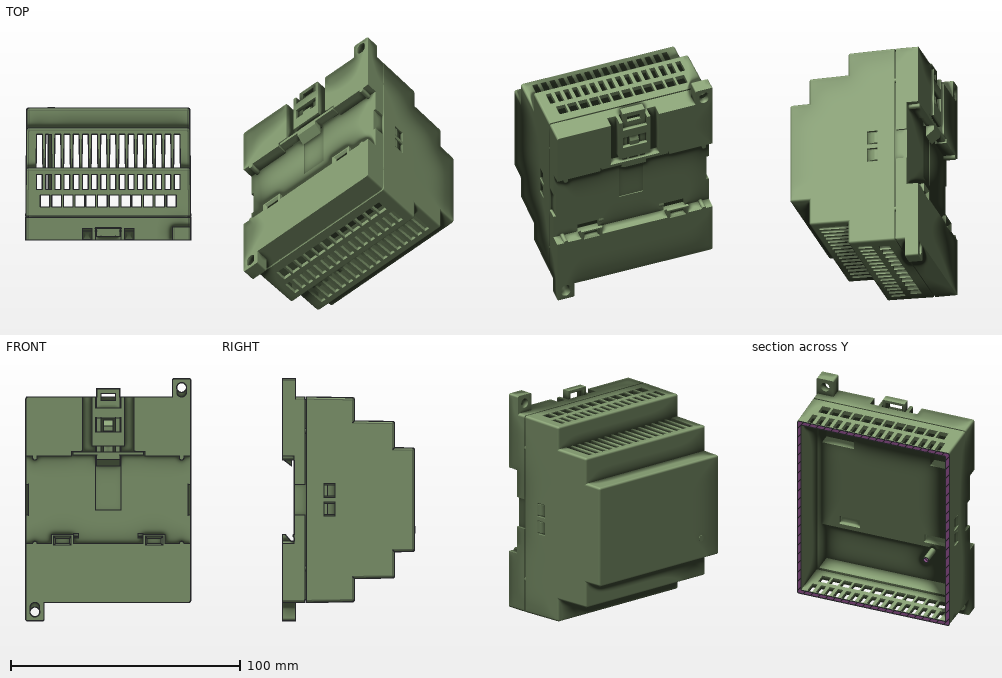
import cadquery as cq
import math


half_width = 36.005
half_height = 44.9
total_half_height = 52.83
total_depth = 57.9
wall = 2.0
edge_radius = 1.0

base_depth = 9.8
lip_inset = 1.15
lip_top = 10.5
locator_radius = 1.1
locator_z = 30.0
foot_width = 8.0
foot_depth = 5.8
foot_corner_radius = 0.75
foot_hole_radius = 2.1
foot_hole_z = 48.95
foot_slot_travel = 2.0
foot_slot_depth = 3.0
channel_half = 19.1
channel_depth = 5.1
base_floor = channel_depth + wall
side_recess_half = 6.75
pin_x = 32.0
pin_radius = 1.0
upper_pin_drop = 0.8

guide_half = 11.15
guide_bottom = 21.0
guide_corner_radius = 1.0
crossbar_notch_half = 15.95
groove_half = 5.65
groove_floor = 5.45
groove_bottom = -4.5
bridge_half = 7.15
bridge_bottom = 23.4
bridge_window_bottom = 29.65
bridge_window_top = 35.75
bridge_notch_bottom = 40.1

clip_x = 19.97
clip_width = 9.8
clip_top = -15.1
clip_tip_depth = 1.25
clip_root_depth = 4.5
clip_pocket_width = 7.65
clip_pocket_top = -15.85
clip_pocket_bottom = -19.8
clip_pocket_floor_width = 6.15
clip_pocket_floor_top = -16.9
clip_pocket_floor_bottom = -19.2
clip_pocket_mouth_depth = 1.0
clip_pocket_depth = 2.3
ridge_x = 13.98
ridge_length = 2.15
ridge_z = -15.7
ridge_half = 0.95
ridge_flat_half = 0.3
ridge_height = 0.4

latch_half = 5.1
latch_front = 1.6
latch_back = 5.15
latch_top = 48.5
crossbar_half = 15.3
crossbar_bottom = 19.45
crossbar_top = 20.9
crossbar_front = 0.35
crossbar_back = 4.0
nose_top = 17.6
nose_bottom = 14.7
pull_hole_half = 3.1
pull_hole_bottom = 43.4
pull_hole_top = 46.3
pull_hollow_half = 4.1
pull_hollow_front = 3.1
pull_hollow_bottom = 39.5
pull_hollow_top = 47.3
relief_half = 3.1
relief_top = 38.0
finger_half = 2.0
finger_top = 34.7
finger_ramp_start = 2.6
finger_ramp_bottom = 32.15
finger_hook_bottom = 29.9
finger_hook_front = 0.5

cover_front = 57.65
cover_front_half_width = 35.6
height_draft = math.tan(math.radians(1.0))
cover_steps = [
    (lip_top, 31.5, half_height),
    (31.5, 49.0, 34.46),
    (49.0, cover_front, 22.75),
]
vent_count = 16
vent_pitch = 4.0
vent_width = 2.4
low_vent_bottom = 22.15
low_vent_top = 28.6
high_vent_top = 46.1
high_vent_root_width = 2.9
terminal_groups = 3
terminals_per_group = 4
terminal_group_pitch = 20.0
terminal_pitch = 5.08
terminal_width = 4.1
terminal_bottom = 14.5
terminal_top = 19.65
window_z = 4.0
window_height = 6.2
window_bottom = 18.1
window_top = 22.95
window_depth = 1.4
catch_height = 4.75
catch_crest = 19.6
catch_rise = 1.1

pipe_radius = 1.35
pipe_x = -24.85
pipe_z = -13.1
pipe_start = 21.0


def block(x0, x1, y0, y1, z0, z1):
    return cq.Workplane("XY").box(x1 - x0, y1 - y0, z1 - z0, centered=False).translate((x0, y0, z0))


def rod(x, z, radius, y0, y1):
    """Cylinder running along Y."""
    return cq.Workplane("XZ", origin=(x, y0, z)).circle(radius).extrude(y0 - y1)


def side_prism(points, x0, x1):
    """Prism along X from (y, z) points."""
    return cq.Workplane("YZ", origin=(x0, 0, 0)).polyline(points).close().extrude(x1 - x0)


def make_foot():
    """Upper right mounting foot."""
    foot_left = half_width - foot_width
    foot_root = half_height - 2 * edge_radius
    foot = block(foot_left, half_width, 0, foot_depth, foot_root, total_half_height)
    return foot.edges("|Y and >Z").fillet(foot_corner_radius)


def foot_opening():
    """Round screw hole that continues downwards as a blind slot."""
    x = half_width - foot_width / 2
    hole = rod(x, foot_hole_z, foot_hole_radius, 0, foot_depth)
    lower_end = foot_hole_z - foot_slot_travel
    slot = rod(x, lower_end, foot_hole_radius, 0, foot_slot_depth)
    slot = slot.union(
        block(x - foot_hole_radius, x + foot_hole_radius, 0, foot_slot_depth, lower_end, foot_hole_z)
    )
    return hole.union(slot)


def half_turn(shape):
    return shape.rotate((0, 0, 0), (0, 1, 0), 180)


def make_shell():
    shell = block(-half_width, half_width, 0, base_depth, -half_height, half_height)
    shell = shell.edges("|Y").fillet(edge_radius)
    foot = make_foot()
    shell = shell.union(foot).union(half_turn(foot))

    lip_x = half_width - lip_inset
    lip_z = half_height - lip_inset
    shell = shell.union(block(-lip_x, lip_x, 0, lip_top, -lip_z, lip_z))
    for x in (-lip_x, lip_x):
        for z in (-locator_z, locator_z):
            shell = shell.union(rod(x, z, locator_radius, base_depth, lip_top))

    inner_x = lip_x - wall
    inner_z = lip_z - wall
    shell = shell.cut(block(-inner_x, inner_x, base_floor, lip_top, -inner_z, inner_z))
    guide_wall = crossbar_notch_half + wall
    end_start = channel_half + wall
    shell = shell.cut(block(-inner_x, -guide_wall, wall, base_floor, end_start, inner_z))
    shell = shell.cut(block(guide_wall, inner_x, wall, base_floor, end_start, inner_z))
    shell = shell.cut(block(-inner_x, inner_x, wall, base_floor, -inner_z, -end_start))

    opening = foot_opening()
    return shell.cut(opening).cut(half_turn(opening))


def cut_channel(base):
    base = base.cut(block(-half_width, half_width, 0, channel_depth, -channel_half, channel_half))
    recess_x = half_width - lip_inset
    for side in (-1, 1):
        recess = block(recess_x, half_width, 0, base_depth, -side_recess_half, side_recess_half)
        if side < 0:
            recess = half_turn(recess)
        base = base.cut(recess)
    return base


def add_channel_pins(base):
    for x in (-pin_x, pin_x):
        upper_z = channel_half - upper_pin_drop
        base = base.union(rod(x, upper_z, pin_radius, 0, channel_depth))
        base = base.union(
            block(x - pin_radius, x + pin_radius, 0, channel_depth, upper_z, channel_half)
        )
        base = base.union(rod(x, -channel_half, pin_radius, 0, channel_depth))
    return base


def cut_latch_guide(base):
    rounding_end = guide_half + guide_corner_radius
    rounding_top = guide_bottom + guide_corner_radius
    guide = (
        cq.Workplane("XZ")
        .moveTo(-guide_half, half_height)
        .lineTo(-guide_half, rounding_top)
        .tangentArcPoint((-rounding_end, guide_bottom), relative=False)
        .lineTo(-crossbar_notch_half, guide_bottom)
        .lineTo(-crossbar_notch_half, channel_half)
        .lineTo(crossbar_notch_half, channel_half)
        .lineTo(crossbar_notch_half, guide_bottom)
        .lineTo(rounding_end, guide_bottom)
        .tangentArcPoint((guide_half, rounding_top), relative=False)
        .lineTo(guide_half, half_height)
        .close()
        .extrude(-channel_depth)
    )
    base = base.cut(guide)
    base = base.union(block(-bridge_half, bridge_half, 0, channel_depth, bridge_bottom, half_height))
    base = base.cut(
        block(-groove_half, groove_half, latch_front, groove_floor, groove_bottom, half_height)
    )
    for bottom, top in (
        (bridge_window_bottom, bridge_window_top),
        (bridge_notch_bottom, half_height),
    ):
        base = base.cut(block(-groove_half, groove_half, 0, latch_front, bottom, top))
    return base


def add_rail_clip(base, x):
    left = x - clip_width / 2
    right = x + clip_width / 2
    base = base.cut(block(left, right, channel_depth, base_floor, -channel_half, clip_top))
    lug = side_prism(
        [
            (0, -channel_half),
            (0, clip_top),
            (clip_tip_depth, clip_top),
            (clip_root_depth, -channel_half),
        ],
        left,
        right,
    )
    base = base.union(lug)
    mouth_z = (clip_pocket_top + clip_pocket_bottom) / 2
    floor_z = (clip_pocket_floor_top + clip_pocket_floor_bottom) / 2
    pocket = (
        cq.Workplane("XZ", origin=(x, 0, mouth_z))
        .rect(clip_pocket_width, clip_pocket_top - clip_pocket_bottom)
        .workplane(offset=-clip_pocket_mouth_depth)
        .center(0, floor_z - mouth_z)
        .rect(clip_pocket_floor_width, clip_pocket_floor_top - clip_pocket_floor_bottom)
        .loft(ruled=True)
    )
    floor_half = clip_pocket_floor_width / 2
    well = block(
        x - floor_half, x + floor_half,
        clip_pocket_mouth_depth, clip_pocket_depth,
        clip_pocket_floor_bottom, clip_pocket_floor_top,
    )
    return base.cut(pocket).cut(well)


def make_ridge(x):
    """Small ridge with bevelled flanks on the channel floor."""
    crest = channel_depth - ridge_height
    return side_prism(
        [
            (channel_depth, ridge_z - ridge_half),
            (crest, ridge_z - ridge_flat_half),
            (crest, ridge_z + ridge_flat_half),
            (channel_depth, ridge_z + ridge_half),
        ],
        x - ridge_length / 2,
        x + ridge_length / 2,
    )


def make_base():
    base = cut_channel(make_shell())
    base = add_channel_pins(base)
    base = cut_latch_guide(base)
    for side in (-1, 1):
        base = add_rail_clip(base, side * clip_x)
        base = base.union(make_ridge(side * ridge_x))
    return base


def make_latch():
    latch = block(-latch_half, latch_half, latch_front, latch_back, crossbar_bottom, latch_top)
    latch = latch.cut(
        block(-relief_half, relief_half, latch_front, latch_back, crossbar_top, relief_top)
    )
    latch = latch.cut(
        block(-pull_hole_half, pull_hole_half, latch_front, latch_back, pull_hole_bottom, pull_hole_top)
    )
    latch = latch.cut(
        block(
            -pull_hollow_half, pull_hollow_half,
            pull_hollow_front, latch_back,
            pull_hollow_bottom, pull_hollow_top,
        )
    )
    latch = latch.union(
        block(
            -crossbar_half, crossbar_half,
            crossbar_front, crossbar_back,
            crossbar_bottom, crossbar_top,
        )
    )
    nose = side_prism(
        [
            (crossbar_front, crossbar_top),
            (crossbar_front, nose_top),
            (crossbar_back, nose_bottom),
            (crossbar_back, crossbar_top),
        ],
        -latch_half,
        latch_half,
    )
    finger = side_prism(
        [
            (crossbar_back, crossbar_bottom),
            (crossbar_back, finger_top),
            (finger_ramp_start, finger_top),
            (finger_hook_front, finger_ramp_bottom),
            (finger_hook_front, finger_hook_bottom),
            (latch_front, finger_hook_bottom),
            (latch_front, crossbar_bottom),
        ],
        -finger_half,
        finger_half,
    )
    return latch.union(nose).union(finger)


def step_solid(step, inset):
    """One drafted step of the cover, offset inwards by inset and running back to the base."""
    start, front, half_z = step
    front_z = half_z - (front - start) * height_draft - inset
    rear_z = half_z + (start - lip_top) * height_draft - inset
    front -= inset
    profile = side_prism(
        [(lip_top, -rear_z), (front, -front_z), (front, front_z), (lip_top, rear_z)],
        -half_width,
        half_width,
    )
    width_draft = (half_width - cover_front_half_width) / (cover_front - lip_top)
    rear_x = half_width - inset
    front_x = rear_x - (front - lip_top) * width_draft
    plan = (
        cq.Workplane("XY", origin=(0, 0, -half_height))
        .polyline([(-rear_x, lip_top), (rear_x, lip_top), (front_x, front), (-front_x, front)])
        .close()
        .extrude(2 * half_height)
    )
    return profile.intersect(plan)


def make_cover_body():
    body = cq.Workplane("XY")
    for step in cover_steps:
        body = body.add(step_solid(step, 0).edges("not <Y").fillet(edge_radius))
    body = body.combine()
    for step in cover_steps:
        body = body.cut(step_solid(step, wall))
    return body


def vertical_slot(x, rear, front, rear_width, front_width):
    """Slot cut through the full height, tapering along Y."""
    return (
        cq.Workplane("XY", origin=(x, 0, -half_height))
        .polyline([
            (-rear_width / 2, rear),
            (rear_width / 2, rear),
            (front_width / 2, front),
            (-front_width / 2, front),
        ])
        .close()
        .extrude(2 * half_height)
    )


def cut_vents(cover):
    high_vent_root = cover_steps[0][1]
    for i in range(vent_count):
        x = (i - (vent_count - 1) / 2) * vent_pitch
        cover = cover.cut(vertical_slot(x, low_vent_bottom, low_vent_top, vent_width, vent_width))
        cover = cover.cut(
            vertical_slot(x, high_vent_root, high_vent_top, high_vent_root_width, vent_width)
        )
    return cover


def cut_terminal_openings(cover):
    for group in range(terminal_groups):
        group_x = (group - (terminal_groups - 1) / 2) * terminal_group_pitch
        for i in range(terminals_per_group):
            x = group_x + (i - (terminals_per_group - 1) / 2) * terminal_pitch
            opening = vertical_slot(x, terminal_bottom, terminal_top, terminal_width, terminal_width)
            cover = cover.cut(opening)
    return cover


def cut_side_windows(cover):
    """Shallow side windows, each holding a ramped catch."""
    floor_x = half_width - window_depth
    for z in (-window_z, window_z):
        window = block(
            floor_x, half_width,
            window_bottom, window_top,
            z - window_height / 2, z + window_height / 2,
        )
        catch = (
            cq.Workplane("XY", origin=(0, 0, z - catch_height / 2))
            .polyline([
                (floor_x, window_bottom),
                (floor_x + catch_rise, window_bottom),
                (floor_x + catch_rise, catch_crest),
                (floor_x, window_top),
            ])
            .close()
            .extrude(catch_height)
        )
        recess = window.cut(catch)
        cover = cover.cut(recess).cut(recess.mirror("YZ"))
    return cover


def make_pipe():
    return rod(pipe_x, pipe_z, pipe_radius, pipe_start, total_depth)


def make_cover():
    cover = make_cover_body()
    cover = cut_vents(cover)
    cover = cut_terminal_openings(cover)
    cover = cut_side_windows(cover)
    return cover.cut(make_pipe())


base = make_base()
latch = make_latch()
cover = make_cover()
light_pipe = make_pipe()

result = cq.Compound.makeCompound([body.solids().val() for body in (base, latch, cover, light_pipe)])